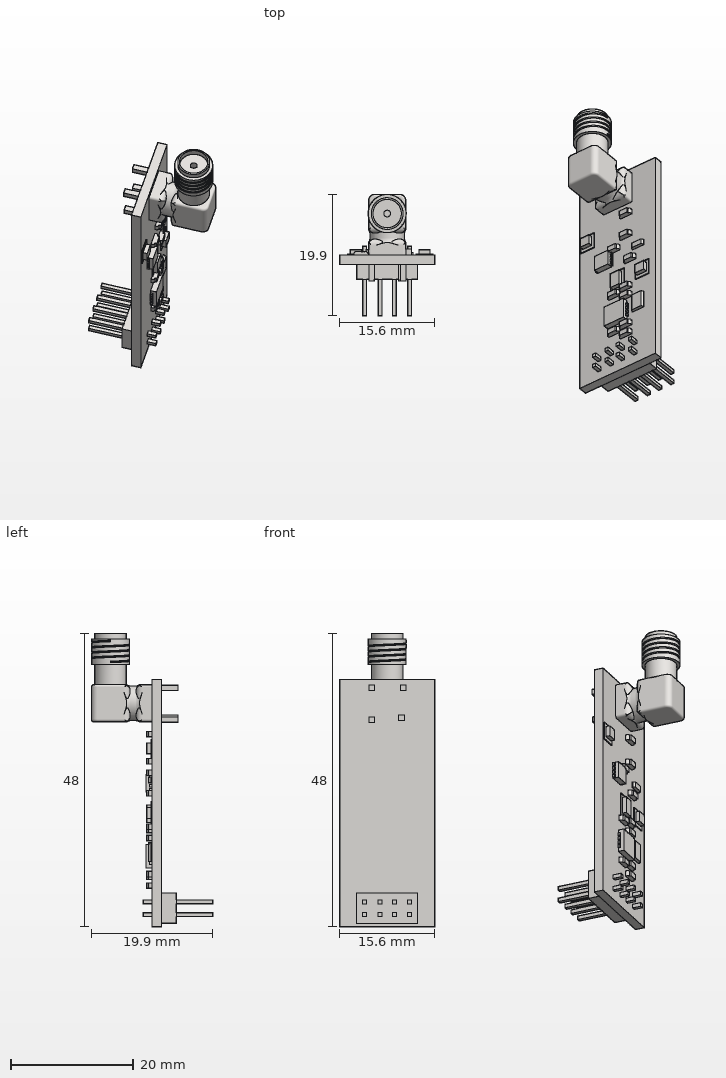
import cadquery as cq


BOARD_WIDTH = 15.6
BOARD_THICKNESS = 1.6
BOARD_HEIGHT = 40.5

HEADER_WIDTH = 10.0
HEADER_DEPTH = 2.42
HEADER_HEIGHT = 5.0
HEADER_BOTTOM = 0.55
PIN_SIZE = 0.65
PIN_FRONT = -8.4
PIN_TAIL = 1.45
PIN_COLUMNS = (-3.69, -1.16, 1.16, 3.69)
PIN_ROW_PITCH = 2.1

OVERALL_HEIGHT = 48.03
OVERALL_DEPTH = 19.91
ELBOW_SIZE = 6.1
ELBOW_TOP = BOARD_HEIGHT - 0.85
ELBOW_FRONT = 5.15
ELBOW_BACK = PIN_FRONT + OVERALL_DEPTH
ELBOW_CORNER_RADIUS = 1.0
ELBOW_EDGE_RADIUS = 0.4
BASE_END = 4.2
WAIST_DIAMETER = 5.7
END_EDGE_RADIUS = 1.0
FLARE_LENGTH = 1.05
FLARE_RADIUS = 3.65
FLARE_MIDDLE_LENGTH = 0.6
FLARE_MIDDLE_RADIUS = 3.07
ELBOW_AXIS_Z = ELBOW_TOP - ELBOW_SIZE / 2

BARREL_DIAMETER = 5.2
THREAD_DIAMETER = 6.25
THREAD_BOTTOM = BOARD_HEIGHT + 2.45
THREAD_TOP = BOARD_HEIGHT + 6.65
THREAD_SETBACK = 0.02
BARREL_AXIS_Y = ELBOW_BACK - THREAD_SETBACK - THREAD_DIAMETER / 2
GROOVE_PITCH = 0.86
GROOVE_TURNS = 4
GROOVE_WIDTH = 0.34
GROOVE_DEPTH = 0.16
GROOVE_START = THREAD_BOTTOM + 0.42
BORE_DIAMETER = 4.65
BORE_DEPTH = 1.0
CONTACT_DIAMETER = 1.1
CONTACT_DEPTH = 2.0

LEG_SIZE = 0.93
LEG_LENGTH = 2.7
LEG_PLACES = ((-2.55, 1.38), (2.63, 1.38), (-2.55, 6.57), (2.35, 6.28))

CHIP_HEIGHT = 0.87
CIRCUIT_HEIGHT = 1.0
LOW_PART_HEIGHT = 0.55
PAD_HEIGHT = 0.16
LOW_PART_SLOPE = 0.25
LOW_PART_SLOPE_DROP = 0.38
CHIP_LENGTH = 1.6
CHIP_WIDTH = 0.93
TERMINAL_LENGTH = 0.35
TERMINAL_HEIGHT = 0.57
TERMINAL_RADIUS = 0.32
CHIP_PLACES = (
    (-1.8, 31.55),
    (-1.8, 27.1),
    (0.6, 25.25),
    (-2.7, 21.87),
    (-1.8, 16.4),
    (0.6, 15.85),
    (-1.8, 14.55),
    (-1.8, 8.65),
    (0.6, 8.2),
    (-1.8, 6.75),
)
PADDED_PARTS = (
    (5.2, 7.05, 28.3, 30.1),
    (-6.07, -4.2, 17.7, 19.5),
    (-1.0, 0.85, 17.05, 19.95),
)
PAD_OVERHANG_X = 0.46
PAD_OVERHANG_Z = 0.6
CIRCUITS = ((1.2, 4.0, 22.05, 24.9), (-2.0, 2.0, 9.6, 13.5))
LOW_PARTS = ((-5.5, -3.1, 23.55, 24.5), (-5.5, -3.1, 10.7, 13.8))

LEAD_COUNT = 4
LEAD_PITCH = 0.72
LEAD_WIDTH = 0.45
LEAD_HEIGHT = 0.4
LEAD_REACH = 0.25

EMBED = 0.3


def block(x_range, y_range, z_range):
    """Box given by its limits along the three axes."""
    size = [high - low for low, high in (x_range, y_range, z_range)]
    corner = (x_range[0], y_range[0], z_range[0])
    return cq.Workplane("XY").box(*size, centered=False).translate(corner)


def centred(middle, size):
    return (middle - size / 2, middle + size / 2)


def on_board(height):
    """Y limits of a part standing on the component face."""
    return (BOARD_THICKNESS - EMBED, BOARD_THICKNESS + height)


def upright_cylinder(diameter, bottom, top):
    """Cylinder on the barrel axis, with its seam towards -X."""
    cylinder = cq.Workplane("XY").circle(diameter / 2).extrude(top - bottom)
    cylinder = cylinder.rotate((0, 0, 0), (0, 0, 1), 180)
    return cylinder.translate((0, BARREL_AXIS_Y, bottom))


def make_board():
    return block(centred(0, BOARD_WIDTH), (0, BOARD_THICKNESS), (0, BOARD_HEIGHT))


def make_header():
    header = block(
        centred(0, HEADER_WIDTH),
        (-HEADER_DEPTH, EMBED),
        (HEADER_BOTTOM, HEADER_BOTTOM + HEADER_HEIGHT),
    )
    middle_z = HEADER_BOTTOM + HEADER_HEIGHT / 2
    for x in PIN_COLUMNS:
        for side in (-1, 1):
            z = middle_z + side * PIN_ROW_PITCH / 2
            pin_span = (PIN_FRONT, BOARD_THICKNESS + PIN_TAIL)
            header = header.union(block(centred(x, PIN_SIZE), pin_span, centred(z, PIN_SIZE)))
    return header


def flare(tip_y, inward):
    """Trumpet-shaped envelope that starts as the waist circle at tip_y and widens in the inward direction."""
    outer_radius = ELBOW_SIZE
    profile = (
        cq.Workplane("XY")
        .lineTo(WAIST_DIAMETER / 2, 0)
        .threePointArc(
            (FLARE_MIDDLE_RADIUS, inward * FLARE_MIDDLE_LENGTH),
            (FLARE_RADIUS, inward * FLARE_LENGTH),
        )
        .lineTo(outer_radius, inward * FLARE_LENGTH)
        .lineTo(outer_radius, inward * 2 * ELBOW_SIZE)
        .lineTo(0, inward * 2 * ELBOW_SIZE)
        .close()
    )
    envelope = profile.revolve(360, (0, 0, 0), (0, 1, 0))
    return envelope.translate((0, tip_y, ELBOW_AXIS_Z))


def shape_waist_end(section, rounded_envelope, tip_y, inward):
    """Round the end edges of a square section, leaving the flare that runs into the waist."""
    return section.intersect(rounded_envelope).union(section.intersect(flare(tip_y, inward)))


def make_elbow():
    side = centred(0, ELBOW_SIZE)
    height = (ELBOW_TOP - ELBOW_SIZE, ELBOW_TOP)

    elbow_block = block(side, (ELBOW_FRONT, ELBOW_BACK), height)
    elbow = elbow_block.edges("|Z and >Y").fillet(ELBOW_CORNER_RADIUS)
    elbow = elbow.faces("<Z or >Z").edges("not <Y").fillet(ELBOW_EDGE_RADIUS)
    rounded_elbow = elbow_block.faces("<Y").edges().fillet(END_EDGE_RADIUS)
    elbow = shape_waist_end(elbow, rounded_elbow, ELBOW_FRONT, 1)

    base_block = block(side, (BOARD_THICKNESS - EMBED, BASE_END), height)
    base = base_block.edges("|Y").fillet(ELBOW_EDGE_RADIUS)
    rounded_base = base_block.faces(">Y").edges().fillet(END_EDGE_RADIUS)
    base = shape_waist_end(base, rounded_base, BASE_END, -1)

    waist = cq.Workplane("XZ").circle(WAIST_DIAMETER / 2).extrude(BOARD_THICKNESS - BARREL_AXIS_Y)
    waist = waist.translate((0, BOARD_THICKNESS, ELBOW_AXIS_Z))
    return elbow.union(base).union(waist)


def thread_groove():
    """Right-handed V groove that starts on the -X side of the thread."""
    radius = THREAD_DIAMETER / 2
    clearance = 0.05
    helix = cq.Wire.makeHelix(GROOVE_PITCH, GROOVE_PITCH * GROOVE_TURNS, radius)
    groove = (
        cq.Workplane("XZ")
        .moveTo(radius - GROOVE_DEPTH, 0)
        .lineTo(radius + clearance, GROOVE_WIDTH / 2)
        .lineTo(radius + clearance, -GROOVE_WIDTH / 2)
        .close()
        .sweep(cq.Workplane(obj=helix), isFrenet=True)
    )
    groove = groove.rotate((0, 0, 0), (0, 0, 1), 180)
    return groove.translate((0, BARREL_AXIS_Y, GROOVE_START))


def make_barrel():
    barrel = upright_cylinder(BARREL_DIAMETER, ELBOW_TOP - EMBED, OVERALL_HEIGHT)
    thread = upright_cylinder(THREAD_DIAMETER, THREAD_BOTTOM, THREAD_TOP).cut(thread_groove())
    bore_floor = OVERALL_HEIGHT - BORE_DEPTH
    bore = upright_cylinder(BORE_DIAMETER, bore_floor, OVERALL_HEIGHT)
    contact = upright_cylinder(CONTACT_DIAMETER, bore_floor - CONTACT_DEPTH, bore_floor)
    return barrel.union(thread).cut(bore).cut(contact)


def make_legs():
    legs = cq.Workplane("XY")
    for x, drop in LEG_PLACES:
        z = BOARD_HEIGHT - drop
        legs = legs.union(block(centred(x, LEG_SIZE), (-LEG_LENGTH, EMBED), centred(z, LEG_SIZE)))
    return legs


def make_chip(x, z):
    """Small chip with a lower, round-topped terminal at each end."""
    body = block(centred(x, CHIP_LENGTH), on_board(CHIP_HEIGHT), centred(z, CHIP_WIDTH))
    terminals = block(
        centred(x, CHIP_LENGTH + 2 * TERMINAL_LENGTH),
        on_board(TERMINAL_HEIGHT),
        centred(z, CHIP_WIDTH),
    )
    return body.union(terminals.faces(">Y").edges("|Z").fillet(TERMINAL_RADIUS))


def make_padded_part(left, right, bottom, top):
    body = block((left, right), on_board(CHIP_HEIGHT), (bottom, top))
    pad = block(
        (left - PAD_OVERHANG_X, right + PAD_OVERHANG_X),
        on_board(PAD_HEIGHT),
        (bottom - PAD_OVERHANG_Z, top + PAD_OVERHANG_Z),
    )
    return body.union(pad)


def make_low_part(left, right, bottom, top):
    """Low block with sloping ends towards -X and +X."""
    part = block((left, right), on_board(LOW_PART_HEIGHT), (bottom, top))
    return part.faces(">Y").edges("|Z").chamfer(LOW_PART_SLOPE_DROP, LOW_PART_SLOPE)


def make_circuit(left, right, bottom, top):
    """Integrated circuit with a row of leads towards -X and another towards +X."""
    circuit = block((left, right), on_board(CIRCUIT_HEIGHT), (bottom, top))
    first_lead_z = (bottom + top) / 2 - (LEAD_COUNT - 1) * LEAD_PITCH / 2
    for index in range(LEAD_COUNT):
        z = first_lead_z + index * LEAD_PITCH
        lead_pair = block(
            (left - LEAD_REACH, right + LEAD_REACH),
            on_board(LEAD_HEIGHT),
            centred(z, LEAD_WIDTH),
        )
        circuit = circuit.union(lead_pair)
    return circuit


def make_surface_parts():
    parts = cq.Workplane("XY")
    for x, z in CHIP_PLACES:
        parts = parts.union(make_chip(x, z))
    for limits in PADDED_PARTS:
        parts = parts.union(make_padded_part(*limits))
    for limits in CIRCUITS:
        parts = parts.union(make_circuit(*limits))
    for limits in LOW_PARTS:
        parts = parts.union(make_low_part(*limits))
    return parts


result = (
    make_board()
    .union(make_header())
    .union(make_elbow())
    .union(make_barrel())
    .union(make_legs())
    .union(make_surface_parts())
)